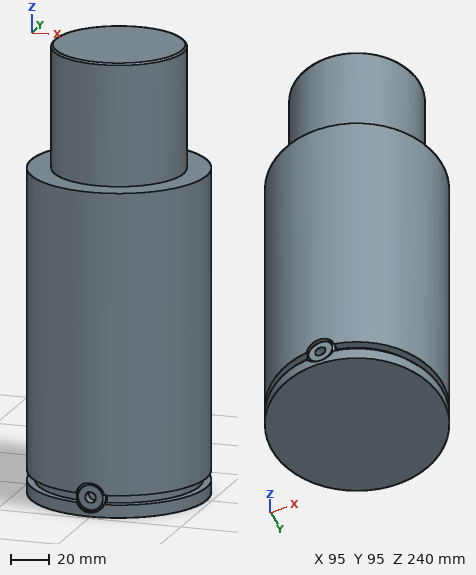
import cadquery as cq

total_height = 240.0
body_radius = 47.5
body_height = 174.0
rod_radius = 35.0
rod_chamfer = 1.0

groove_bottom = 7.0
groove_top = 12.0
groove_depth = 4.0

plug_height = 10.0
plug_radius = 8.0
plug_chamfer = 1.2
plug_face_depth = 1.0
plug_hole_radius = 3.0
plug_hole_depth = 6.0

groove_radius = body_radius - groove_depth
plug_face = body_radius - plug_face_depth
plug_length = 2 * groove_depth + plug_face_depth


def radial_cylinder(radius, outer_distance, length):
    """Cylinder at plug height, running inward from the -Y side."""
    plane = cq.Plane(origin=(0, -outer_distance, plug_height), xDir=(1, 0, 0), normal=(0, 1, 0))
    return cq.Workplane(plane).circle(radius).extrude(length)


def make_cylinder_and_rod():
    """Grooved body with the chamfered piston rod on top."""
    body = cq.Workplane("XY").circle(body_radius).extrude(body_height)
    groove = (
        cq.Workplane("XY", origin=(0, 0, groove_bottom))
        .circle(body_radius)
        .circle(groove_radius)
        .extrude(groove_top - groove_bottom)
    )
    rod = (
        cq.Workplane("XY", origin=(0, 0, body_height))
        .circle(rod_radius)
        .extrude(total_height - body_height)
        .faces(">Z")
        .chamfer(rod_chamfer)
    )
    return body.cut(groove).union(rod)


def add_plug(part):
    """Recess the body, then fill it with the chamfered plug and its blind hole."""
    recess_depth = plug_face_depth + plug_chamfer
    recess = radial_cylinder(plug_radius, body_radius, recess_depth)
    plug = radial_cylinder(plug_radius, plug_face, plug_length).faces("<Y").chamfer(plug_chamfer)
    hole = radial_cylinder(plug_hole_radius, plug_face, plug_hole_depth)
    return part.cut(recess).union(plug).cut(hole)


result = add_plug(make_cylinder_and_rod())